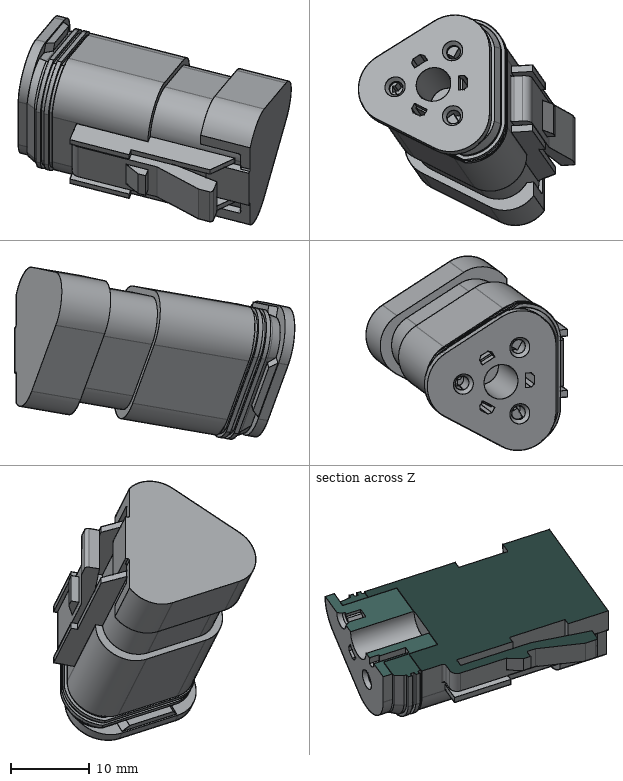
import cadquery as cq
import math


flange_end = 1.33
nose_end = 2.48
seal_end = 4.93
body_end = 17.83
shroud_start = 24.75
plug_length = 31.4

contact_circle_radius = 5.0
contact_hole_diameter = 1.8
contact_mouth_diameter = 2.64
contact_mouth_depth = 0.6
contact_hole_depth = 0.95
contact_pocket_depth = 3.0
key_outer = 5.53
key_shoulder = 5.2
key_neck = 4.79
key_half_width = 0.4
ledge_inner = 4.5
ledge_side = 0.23
center_hole_diameter = 4.5
flange_margin = 4.8
core_margin = 2.3
core_end = 9.0
slot_inner = 3.28
slot_step = 0.23
slot_outer = 4.43
slot_width = 1.88
slot_corner = 0.4
slot_depth = 5.0
web_end = 2.3
web_height = 7.1
web_half_length = 4.2
web_taper = 0.85

seal_flat_y = -8.26
seal_tip_y = 8.22
seal_side_distance = 6.03
seal_corner_radius = 4.63
seal_corner_y = -3.69
seal_corner_z = 4.3
seal_tip_rise = 1.66
nose_flat_taper = 0.6
nose_side_taper = 0.26
nose_tip_taper = 0.2
rib_height = 0.45
rib_width = 0.58
rib_starts = (2.87, 3.94)

body_flat_y = -8.46
body_tip_y = 8.46
body_radius = 4.52
neck_flat_y = -7.55
neck_tip_y = 7.4
neck_radius = 4.0
shroud_height = 19.1
shroud_tip_y = 8.9
shroud_radius = 4.42
shroud_cut_y = -7.93
window_end = 30.1
window_half_width = 6.0
window_corner_radius = 0.3
pad_start = 25.66
pad_half_width = 3.25
pad_fillet_start = 30.2
pad_fillet_size = 0.2

rail_start = 8.23
rail_inner_z = 3.55
rail_outer_z = 4.43
rail_top_y = -11.23
rail_low_y = -10.37
rail_step_x = 16.2
rail_slope_x = 26.8
rail_end = 29.25
latch_half_width = 3.03
latch_start = 7.8
root_fillet = 0.37
root_round = 1.04
root_thickness = 1.75
lever_top_y = -10.94
lever_under_y = -9.55
lever_bend_x = 19.85
lever_end = 27.9
thumb_flat_x = 26.05
thumb_round = 0.42
thumb_tip_y = -12.75
thumb_under_y = -10.9
catch_start = 15.7
catch_crest_x = 17.64
catch_end = 18.68
catch_top_y = -11.97
catch_half_width = 1.99


def rounded_triangle(x, flat_y, tip_y, radius):
    """Outline at station x: equilateral triangle with rounded corners, flat at -Y, tip at +Y."""
    tip_center_y = tip_y - radius
    base_center_y = flat_y + radius
    half_side = (tip_center_y - base_center_y) / math.sqrt(3)
    side_y = radius * math.sin(math.radians(30))
    side_z = radius * math.cos(math.radians(30))
    return (
        cq.Workplane("YZ", origin=(x, 0, 0))
        .moveTo(flat_y, -half_side)
        .lineTo(flat_y, half_side)
        .threePointArc(
            (base_center_y - side_y, half_side + side_z),
            (base_center_y + side_y, half_side + side_z),
        )
        .lineTo(tip_center_y + side_y, side_z)
        .threePointArc((tip_y, 0), (tip_center_y + side_y, -side_z))
        .lineTo(base_center_y + side_y, -half_side - side_z)
        .threePointArc((base_center_y - side_y, -half_side - side_z), (flat_y, -half_side))
        .close()
    )


def prism(start, end, flat_y, tip_y, radius):
    return rounded_triangle(start, flat_y, tip_y, radius).extrude(end - start)


def contact_prism(start, end, margin):
    """Rounded triangle that keeps the given margin around the three contact axes."""
    flat_y = -contact_circle_radius / 2 - margin
    return prism(start, end, flat_y, contact_circle_radius + margin, margin)


def box(x_range, y_range, z_range):
    corner = (x_range[0], y_range[0], z_range[0])
    size = (x_range[1] - x_range[0], y_range[1] - y_range[0], z_range[1] - z_range[0])
    return cq.Workplane("XY", origin=corner).box(*size, centered=False)


def around_axis(shape, angle):
    return shape.rotate((0, 0, 0), (1, 0, 0), angle)


def contact_hole():
    hole = cq.Workplane("YZ").center(contact_circle_radius, 0).circle(contact_hole_diameter / 2)
    mouth_cone = (
        cq.Workplane("YZ")
        .center(contact_circle_radius, 0)
        .circle(contact_mouth_diameter / 2)
        .workplane(offset=contact_mouth_depth)
        .circle(contact_hole_diameter / 2)
        .loft(combine=True)
    )
    return hole.extrude(contact_hole_depth).union(mouth_cone)


def keyed_pocket():
    """Pocket at the bottom of the +Y contact hole, narrowed to a key on its outer side."""
    hole_radius = contact_hole_diameter / 2
    neck_half_width = math.sqrt(hole_radius**2 - (contact_circle_radius - key_neck) ** 2)
    hole_inner = contact_circle_radius - hole_radius
    outline = (
        cq.Workplane("YZ")
        .moveTo(key_outer, -key_half_width)
        .lineTo(key_outer, key_half_width)
        .lineTo(key_shoulder, key_half_width)
        .lineTo(key_neck, neck_half_width)
        .threePointArc((hole_inner, 0), (key_neck, -neck_half_width))
        .lineTo(key_shoulder, -key_half_width)
        .close()
    )
    return outline.extrude(contact_pocket_depth)


def ledge_pocket():
    """Pocket in the bottom of a contact hole around a square-cornered ledge, drawn on +Y."""
    hole_radius = contact_hole_diameter / 2
    bore = cq.Workplane("YZ").center(contact_circle_radius, 0).circle(hole_radius)
    ledge = box(
        (0, contact_pocket_depth),
        (ledge_inner, contact_circle_radius + hole_radius),
        (-ledge_side, hole_radius),
    )
    return bore.extrude(contact_pocket_depth).cut(ledge)


def release_slot():
    """Slot on the -Y side of the axis, with chamfered outer corners and a shallow inner ledge."""
    half_width = slot_width / 2
    ledge = box((0, flange_end), (-slot_outer, -slot_inner), (-half_width, half_width))
    deep = box((0, slot_depth), (-slot_outer, -slot_inner - slot_step), (-half_width, half_width))
    return ledge.union(deep).edges("|X and <Y").chamfer(slot_corner)


def flange_web():
    """Tapered web behind the +Y side of the flange, before it is turned to a sloping side."""
    return (
        cq.Workplane("XZ")
        .polyline([
            (flange_end, -web_half_length),
            (web_end, -web_half_length + web_taper),
            (web_end, web_half_length - web_taper),
            (flange_end, web_half_length),
        ])
        .close()
        .extrude(-web_height)
    )


def wedge_core():
    """Everything behind the flange, without holes; it also shapes the mating recesses."""
    core = contact_prism(flange_end, core_end, core_margin)
    for angle in (-60, 60):
        core = core.union(around_axis(flange_web(), angle))
    return core


def make_wedge():
    wedge = contact_prism(0, flange_end, flange_margin).union(wedge_core())
    for angle in (0, 120, 240):
        wedge = wedge.cut(around_axis(contact_hole(), angle))
        wedge = wedge.cut(around_axis(release_slot(), angle))
    wedge = wedge.cut(keyed_pocket())
    lower_pocket = around_axis(ledge_pocket(), -120)
    wedge = wedge.cut(lower_pocket).cut(lower_pocket.mirror("XY"))
    center_hole = cq.Workplane("YZ").circle(center_hole_diameter / 2).extrude(core_end)
    return wedge.cut(center_hole)


def seal_outline(x, flat_growth, side_growth, tip_growth):
    """Three flats joined by two wide base corners and a tip arc, grown from the seal's base size.

    Each base corner is an arc that the flats cut slightly short of tangency.
    """
    cos_side = math.cos(math.radians(30))
    sin_side = math.sin(math.radians(30))
    flat_y = seal_flat_y - flat_growth
    tip_y = seal_tip_y + tip_growth
    radius = seal_corner_radius + flat_growth
    side_distance = seal_side_distance + side_growth

    flat_half = seal_corner_z + math.sqrt(radius**2 - (seal_corner_y - flat_y) ** 2)

    side_offset = side_distance - seal_corner_y * sin_side - seal_corner_z * cos_side
    half_chord = math.sqrt(radius**2 - side_offset**2)
    side_y = seal_corner_y + side_offset * sin_side - half_chord * cos_side
    side_z = seal_corner_z + side_offset * cos_side + half_chord * sin_side

    flat_angle = math.atan2(flat_half - seal_corner_z, flat_y - seal_corner_y)
    side_angle = math.atan2(side_z - seal_corner_z, side_y - seal_corner_y)
    middle_angle = (flat_angle + side_angle) / 2
    middle_y = seal_corner_y + radius * math.cos(middle_angle)
    middle_z = seal_corner_z + radius * math.sin(middle_angle)

    tip_side_y = seal_tip_y - seal_tip_rise + tip_growth * sin_side
    tip_side_z = (side_distance - tip_side_y * sin_side) / cos_side
    return (
        cq.Workplane("YZ", origin=(x, 0, 0))
        .moveTo(flat_y, -flat_half)
        .lineTo(flat_y, flat_half)
        .threePointArc((middle_y, middle_z), (side_y, side_z))
        .lineTo(tip_side_y, tip_side_z)
        .threePointArc((tip_y, 0), (tip_side_y, -tip_side_z))
        .lineTo(side_y, -side_z)
        .threePointArc((middle_y, -middle_z), (flat_y, -flat_half))
        .close()
    )


def seal_nose():
    front = seal_outline(flange_end, -nose_flat_taper, -nose_side_taper, -nose_tip_taper)
    back = seal_outline(nose_end, 0, 0, 0)
    return cq.Workplane(cq.Solid.makeLoft([front.wires().val(), back.wires().val()], True))


def make_seal():
    seal = seal_nose().union(seal_outline(nose_end, 0, 0, 0).extrude(seal_end - nose_end))
    for start in rib_starts:
        seal = seal.union(seal_outline(start, rib_height, rib_height, rib_height).extrude(rib_width))
    return seal.cut(wedge_core())


def shroud():
    """Rear collar, trimmed flat on the latch side and opened by a window around the latch."""
    side = shroud_height - 2 * shroud_radius
    flat_y = shroud_tip_y - 2 * shroud_radius - side * math.sqrt(3) / 2
    collar = prism(shroud_start, plug_length, flat_y, shroud_tip_y, shroud_radius)
    collar = collar.cut(
        box((shroud_start, plug_length), (flat_y, shroud_cut_y), (-shroud_height / 2, shroud_height / 2))
    )
    window = box((shroud_start, window_end), (flat_y, 0), (-window_half_width, window_half_width))
    window = window.edges("|Y and >X").fillet(window_corner_radius)
    return collar.cut(window)


def latch_pad():
    """Flat pad under the latch lever, blended into the shroud at its rear corners."""
    pad = box((pad_start, plug_length), (body_flat_y, 0), (-pad_half_width, pad_half_width))
    blend = (
        cq.Workplane("YZ", origin=(pad_fillet_start, 0, 0))
        .polyline([
            (shroud_cut_y, -pad_half_width - pad_fillet_size),
            (shroud_cut_y - pad_fillet_size, -pad_half_width),
            (shroud_cut_y - pad_fillet_size, pad_half_width),
            (shroud_cut_y, pad_half_width + pad_fillet_size),
        ])
        .close()
        .extrude(plug_length - pad_fillet_start)
    )
    return pad.union(blend)


def guard_rail(z_start):
    return (
        cq.Workplane("XY", origin=(0, 0, z_start))
        .polyline([
            (rail_start, neck_flat_y),
            (rail_start, rail_top_y),
            (rail_step_x, rail_top_y),
            (rail_step_x, rail_low_y),
            (rail_slope_x, rail_low_y),
            (rail_end, neck_flat_y),
        ])
        .close()
        .extrude(rail_outer_z - rail_inner_z)
    )


def latch_lever():
    wall_x = latch_start + root_fillet
    return (
        cq.Workplane("XY", origin=(0, 0, -latch_half_width))
        .moveTo(latch_start, body_flat_y)
        .radiusArc((wall_x, body_flat_y - root_fillet), root_fillet)
        .lineTo(wall_x, lever_top_y + root_round)
        .radiusArc((wall_x + root_round, lever_top_y), -root_round)
        .lineTo(lever_bend_x, lever_top_y)
        .lineTo(thumb_flat_x, thumb_tip_y)
        .lineTo(lever_end - thumb_round, thumb_tip_y)
        .radiusArc((lever_end, thumb_tip_y + thumb_round), -thumb_round)
        .lineTo(lever_end, thumb_under_y)
        .lineTo(lever_bend_x, lever_under_y)
        .lineTo(wall_x + root_thickness, lever_under_y)
        .lineTo(wall_x + root_thickness, neck_flat_y)
        .lineTo(latch_start, neck_flat_y)
        .close()
        .extrude(2 * latch_half_width)
    )


def latch_catch():
    return (
        cq.Workplane("XY", origin=(0, 0, -catch_half_width))
        .polyline([
            (catch_start, lever_top_y),
            (catch_crest_x, catch_top_y),
            (catch_end, catch_top_y),
            (catch_end, lever_under_y),
            (catch_start, lever_under_y),
        ])
        .close()
        .extrude(2 * catch_half_width)
    )


def make_housing():
    housing = prism(seal_end, body_end, body_flat_y, body_tip_y, body_radius)
    housing = housing.union(prism(body_end, plug_length, neck_flat_y, neck_tip_y, neck_radius))
    housing = housing.union(shroud()).union(latch_pad())
    for z_start in (rail_inner_z, -rail_outer_z):
        housing = housing.union(guard_rail(z_start))
    housing = housing.union(latch_lever()).union(latch_catch())
    return housing.cut(wedge_core())


wedge = make_wedge()
seal = make_seal()
housing = make_housing()

result = cq.Compound.makeCompound([wedge.val(), seal.val(), housing.val()])